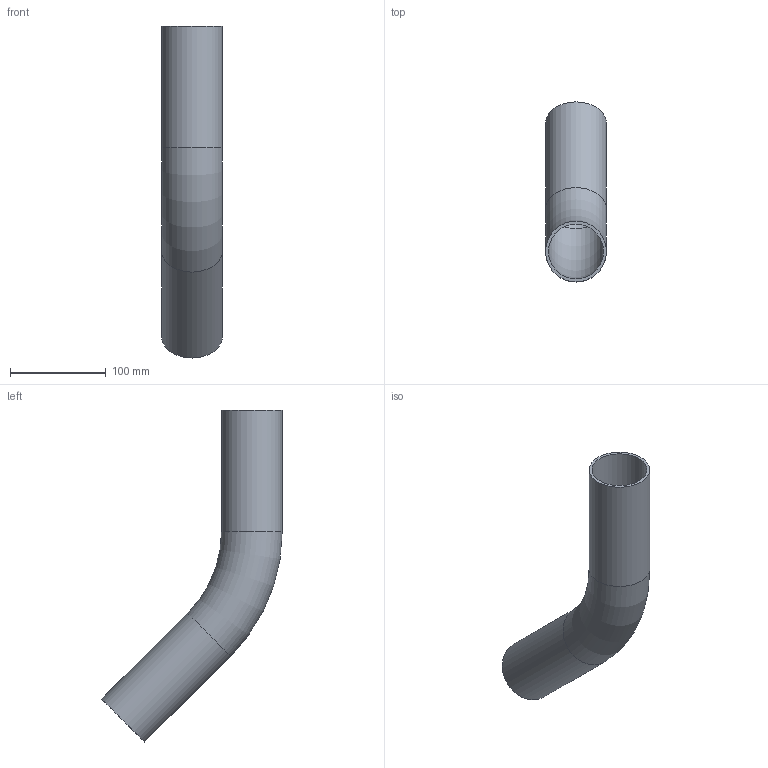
import cadquery as cq
import math

outer_diameter = 63.5
inner_diameter = 57.4

leg_length = 2 * outer_diameter
bend_radius = 2.4 * outer_diameter
bend_angle = 45.0


def bend_point(angle):
    """Point (y, z) on the bend centreline, at an angle in degrees from its upper end."""
    turn = math.radians(angle)
    return bend_radius * (1 - math.cos(turn)), -bend_radius * math.sin(turn)


def centreline():
    """Centreline in the YZ plane; the bend starts at the origin."""
    bend_middle = bend_point(bend_angle / 2)
    bend_end = bend_point(bend_angle)
    slope = math.radians(bend_angle)
    lower_end = (
        bend_end[0] + leg_length * math.sin(slope),
        bend_end[1] - leg_length * math.cos(slope),
    )
    return (
        cq.Workplane("YZ")
        .moveTo(0, leg_length)
        .lineTo(0, 0)
        .threePointArc(bend_middle, bend_end)
        .lineTo(*lower_end)
    )


def bent_tube():
    """Ring section swept from the top of the vertical leg along the centreline."""
    return (
        cq.Workplane("XY", origin=(0, 0, leg_length))
        .circle(outer_diameter / 2)
        .circle(inner_diameter / 2)
        .sweep(centreline())
    )


result = bent_tube()